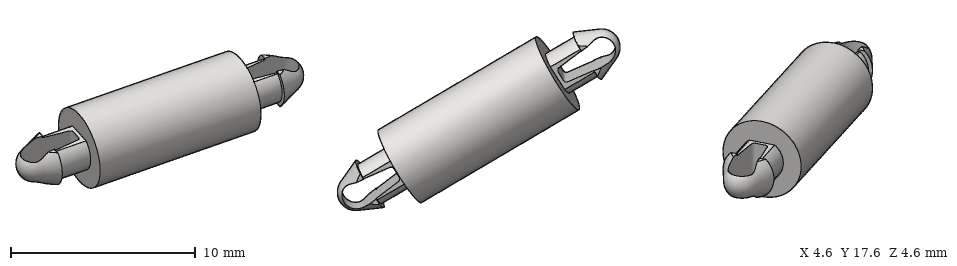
import cadquery as cq
import math

total_length = 17.6
body_diameter = 4.6
body_length = 10.0
body_end = body_length / 2
tip_reach = (total_length - body_length) / 2

stem_diameter = 2.5
stem_thickness = 2.0
stem_length = 1.9

barb_radius = 1.5
barb_thickness = 2.2
nose_radius = 1.0
nose_center = tip_reach - nose_radius

slot_start = 0.21
slot_start_half_width = 0.44
slot_corner_radius = 0.2
slot_end_diameter = 1.5
slot_end_radius = slot_end_diameter / 2


def tangent_angle(radius, center_y, point_x, point_y):
    """Angle from +X of the outer tangent point on a circle centred at (0, center_y)."""
    offset_y = point_y - center_y
    distance = math.hypot(point_x, offset_y)
    return math.atan2(offset_y, point_x) + math.acos(radius / distance)


def point_on_circle(radius, center_y, angle):
    return radius * math.cos(angle), center_y + radius * math.sin(angle)


def flat_sided(solid, thickness):
    """Trim a round solid to the given thickness along Z."""
    slab = cq.Workplane("XY").box(total_length, total_length, thickness)
    return solid.intersect(slab)


def make_stem():
    stem = (
        cq.Workplane("XZ")
        .circle(stem_diameter / 2)
        .extrude(-(body_end + stem_length))
        .translate((0, -body_end, 0))
    )
    return flat_sided(stem, stem_thickness)


def make_head():
    angle = tangent_angle(nose_radius, nose_center, barb_radius, stem_length)
    middle_angle = (angle + math.pi / 2) / 2
    head = (
        cq.Workplane("XY")
        .moveTo(0, stem_length)
        .lineTo(barb_radius, stem_length)
        .lineTo(*point_on_circle(nose_radius, nose_center, angle))
        .threePointArc(
            point_on_circle(nose_radius, nose_center, middle_angle),
            (0, tip_reach),
        )
        .close()
        .revolve(360, (0, 0, 0), (0, 1, 0))
    )
    return flat_sided(head, barb_thickness)


def make_slot():
    angle = tangent_angle(slot_end_radius, nose_center, slot_start_half_width, slot_start)
    end_x, end_y = point_on_circle(slot_end_radius, nose_center, angle)
    return (
        cq.Workplane("XY")
        .moveTo(-slot_start_half_width, slot_start)
        .lineTo(slot_start_half_width, slot_start)
        .lineTo(end_x, end_y)
        .threePointArc((0, nose_center + slot_end_radius), (-end_x, end_y))
        .close()
        .extrude(barb_thickness, both=True)
        .edges("|Z and <Y")
        .fillet(slot_corner_radius)
    )


body = cq.Workplane("XZ").circle(body_diameter / 2).extrude(body_length).translate((0, body_end, 0))
pin = make_stem().union(make_head())
slot = make_slot().translate((0, body_end, 0))
back_pin = pin.translate((0, body_end, 0))

result = body.union(back_pin).union(back_pin.mirror("XZ"))
result = result.cut(slot).cut(slot.mirror("XZ"))